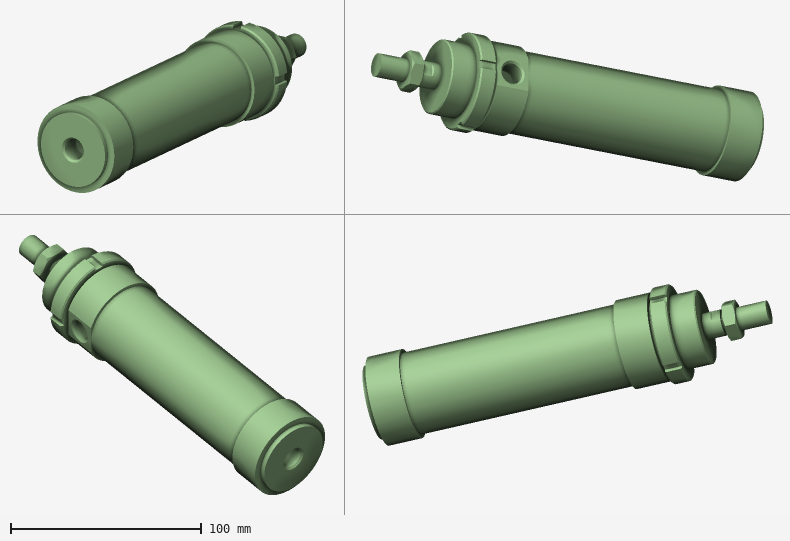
import cadquery as cq
import math


overall_length = 217.0
cap_start = 2.8
tube_start = 21.3
head_start = 138.9
collar_start = 157.3
collar_end = 182.3
rod_nut_start = 193.8
lock_nut_start = 159.0

collar_diameter = 40.0
cap_diameter = 48.0
tube_diameter = 44.0
collar_chamfer = 0.7

port_diameter = 11.5
port_rim_diameter = 13.7
port_depth = 12.0
drill_point_angle = 118.0
flat_offset = 22.4
side_port_y = (head_start + collar_start) / 2

rod_diameter = 14.0
thread_diameter = 12.5
neck_diameter = 10.0
shank_end = 192.0
across_rod_flats = 12.4
rod_flat_length = 4.5

rod_nut_thickness = 7.0
rod_nut_across_flats = 19.0
hexagon_sides = 6
nut_chamfer_angle = 30.0

lock_nut_diameter = 52.0
lock_nut_thickness = 9.3
lock_nut_chamfer = 0.75
slot_width = 4.8
slot_depth = 2.2
slot_count = 4


def disc(diameter, start, end):
    """Cylinder on the Y axis between two stations."""
    return (
        cq.Workplane("XZ", origin=(0, start, 0))
        .circle(diameter / 2)
        .extrude(start - end)
    )


def revolve_about_y(points):
    """Solid turned from a closed outline of (radius, Y) points."""
    return cq.Workplane("XY").polyline(points).close().revolve(360, (0, 0, 0), (0, 1, 0))


def port_cutter(tip_length):
    """Port opening at Y = 0 and running toward +Y, with a 45 degree rim and a conical tip if asked."""
    bore = port_diameter / 2
    rim = port_rim_diameter / 2
    outline = [(0, 0), (rim, 0), (bore, rim - bore), (bore, port_depth), (0, port_depth + tip_length)]
    return revolve_about_y(outline)


def make_housing():
    """Rear boss, end cap, tube, head with a side port, and front collar."""
    body = disc(collar_diameter, 0, collar_end).faces(">Y").edges().chamfer(collar_chamfer)
    body = body.union(disc(cap_diameter, cap_start, tube_start))
    body = body.union(disc(tube_diameter, tube_start, head_start))
    head = disc(cap_diameter, head_start, collar_start)

    beyond_flat = cq.Workplane("XY").box(
        cap_diameter, overall_length, cap_diameter, centered=(False, False, True)
    ).translate((-flat_offset - cap_diameter, 0, 0))
    body = body.union(head.cut(beyond_flat))

    side_port = port_cutter(0).rotate((0, 0, 0), (0, 0, 1), -90)
    body = body.cut(side_port.translate((-flat_offset, side_port_y, 0)))

    drill_tip = port_diameter / 2 / math.tan(math.radians(drill_point_angle / 2))
    return body.cut(port_cutter(drill_tip))


def make_piston_rod():
    """Shank with two wrench flats, undercut neck and threaded end."""
    flat_end = shank_end - rod_flat_length
    half_flats = across_rod_flats / 2
    run_out = rod_diameter / 2 - half_flats
    shank = disc(rod_diameter, collar_end, shank_end)

    flats_outline = [
        (-half_flats - run_out, collar_end),
        (half_flats + run_out, collar_end),
        (half_flats + run_out, flat_end - run_out),
        (half_flats, flat_end),
        (half_flats, shank_end),
        (-half_flats, shank_end),
        (-half_flats, flat_end),
        (-half_flats - run_out, flat_end - run_out),
    ]
    envelope = cq.Workplane("XY").polyline(flats_outline).close().extrude(rod_diameter / 2, both=True)
    rod = shank.intersect(envelope)
    rod = rod.union(disc(neck_diameter, shank_end, rod_nut_start))
    return rod.union(disc(thread_diameter, rod_nut_start, overall_length))


def make_rod_nut():
    """Hexagon nut with corners on X, its points bevelled at both ends."""
    face_radius = rod_nut_across_flats / 2
    corner_radius = face_radius / math.cos(math.pi / hexagon_sides)
    bevel = (corner_radius - face_radius) * math.tan(math.radians(nut_chamfer_angle))
    end = rod_nut_start + rod_nut_thickness
    hexagon = (
        cq.Workplane("XZ", origin=(0, rod_nut_start, 0))
        .polygon(hexagon_sides, 2 * corner_radius)
        .extrude(-rod_nut_thickness)
    )
    envelope = revolve_about_y([
        (0, rod_nut_start),
        (face_radius, rod_nut_start),
        (corner_radius, rod_nut_start + bevel),
        (corner_radius, end - bevel),
        (face_radius, end),
        (0, end),
    ])
    return hexagon.intersect(envelope).cut(disc(thread_diameter, rod_nut_start, end))


def make_lock_nut():
    """Round nut on the collar with four wrench slots in its rim."""
    end = lock_nut_start + lock_nut_thickness
    radius = lock_nut_diameter / 2
    nut = disc(lock_nut_diameter, lock_nut_start, end)
    nut = nut.faces("<Y or >Y").edges().chamfer(lock_nut_chamfer)
    nut = nut.cut(disc(collar_diameter, lock_nut_start, end))
    slot = cq.Workplane("XY").box(
        2 * slot_depth, lock_nut_thickness, slot_width, centered=(True, False, True)
    ).translate((radius, lock_nut_start, 0))
    for index in range(slot_count):
        nut = nut.cut(slot.rotate((0, 0, 0), (0, 1, 0), index * 360 / slot_count))
    return nut


housing = make_housing()
piston_rod = make_piston_rod()
rod_nut = make_rod_nut()
lock_nut = make_lock_nut()

result = cq.Compound.makeCompound([
    housing.val(),
    piston_rod.val(),
    rod_nut.val(),
    lock_nut.val(),
])